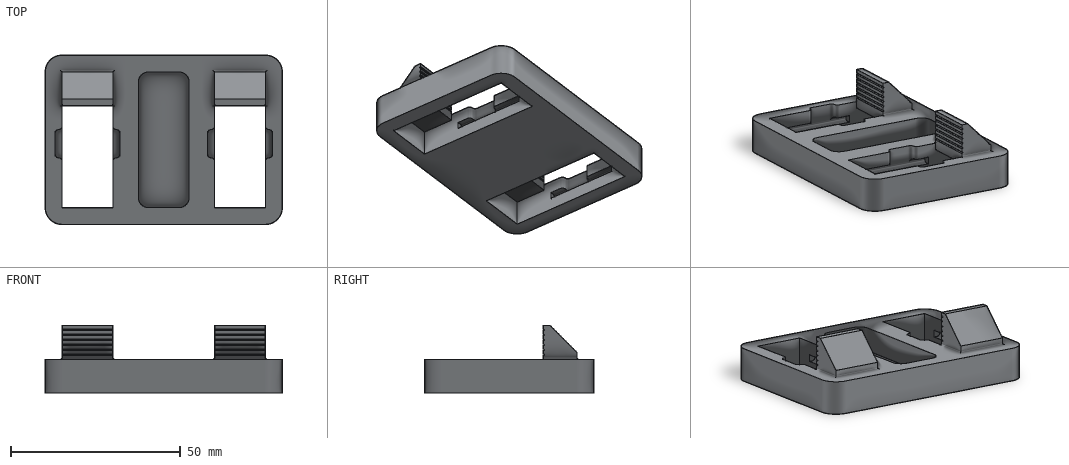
import cadquery as cq
import math

length = 70.0
cell = length / 14
width = 10 * cell
base_height = 2 * cell
corner_radius = cell

opening_width = 3 * cell
opening_length = 8 * cell
opening_end = opening_length / 2
window_spacing = 9 * cell
window_centers = [-window_spacing / 2, window_spacing / 2]
pocket_depth = 7.0
pocket_corner_radius = 3.0

block_length = 2 * cell
block_front = opening_end - block_length
block_top = 4 * cell
block_sink = 2.0
block_bottom = base_height - block_sink
block_crest = 2.0
block_foot_radius = 0.5

groove_count = 6
groove_pitch = 1.5
groove_top_gap = 1.3
groove_height = 0.5
groove_depth = 0.4

rail_depth = 2.0
rail_radius = rail_depth / 2
rail_height = base_height / 2
rail_rear = 7.5
rail_front = -15.05
notch_rear = 3.0
notch_front = -5.3


def make_base():
    """Rounded plate with its bottom face at Z = 0."""
    plate = cq.Workplane("XY").box(length, width, base_height, centered=(True, True, False))
    return plate.edges("|Z").fillet(corner_radius)


def make_window(center_x):
    """Through opening for one window."""
    window = cq.Workplane("XY").box(
        opening_width, opening_length, base_height, centered=(True, True, False)
    )
    return window.translate((center_x, 0, 0))


def make_pocket():
    """Central pocket with rounded corners, open at the top."""
    pocket = cq.Workplane("XY").box(
        opening_width, opening_length, pocket_depth, centered=(True, True, False)
    )
    pocket = pocket.edges("|Z").fillet(pocket_corner_radius)
    return pocket.translate((0, 0, base_height - pocket_depth))


def make_rail(center_x):
    """Groove profile with rounded sides, reaching into both long walls of a window."""
    rail = (
        cq.Workplane("XZ", origin=(center_x, rail_rear, rail_height))
        .slot2D(opening_width + 2 * rail_depth, 2 * rail_radius)
        .extrude(rail_rear - rail_front)
    )
    return rail


def make_notch(center_x):
    """Entry notches of one window: S-shaped ends flare out to the window walls."""
    wall = opening_width / 2
    turn = wall + rail_radius
    outer = wall + rail_depth
    flare_rear = notch_rear + rail_radius
    flare_front = notch_front - rail_radius
    flat_rear = notch_rear - rail_radius
    flat_front = notch_front + rail_radius
    arc_middle = rail_radius * math.sqrt(0.5)
    notch = (
        cq.Workplane("XY")
        .workplane(offset=rail_height)
        .moveTo(0, flare_rear)
        .lineTo(wall, flare_rear)
        .threePointArc((turn - arc_middle, flare_rear - arc_middle), (turn, notch_rear))
        .threePointArc((turn + arc_middle, flat_rear + arc_middle), (outer, flat_rear))
        .lineTo(outer, flat_front)
        .threePointArc((turn + arc_middle, flat_front - arc_middle), (turn, notch_front))
        .threePointArc((turn - arc_middle, flare_front + arc_middle), (wall, flare_front))
        .lineTo(0, flare_front)
        .close()
        .extrude(base_height - rail_height)
    )
    notch = notch.union(notch.mirror("YZ"))
    return notch.translate((center_x, 0, 0))


def make_block(center_x):
    """Wedge with a 45 degree back slope and grip grooves across its front face."""
    crest_back = block_front + block_crest
    slope_foot = block_top - (opening_end - crest_back)
    block = (
        cq.Workplane("YZ")
        .polyline([
            (block_front, block_bottom),
            (block_front, block_top),
            (crest_back, block_top),
            (opening_end, slope_foot),
            (opening_end, block_bottom),
        ])
        .close()
        .extrude(opening_width / 2, both=True)
    )
    for index in range(groove_count):
        groove_center = block_top - groove_top_gap - index * groove_pitch
        groove = (
            cq.Workplane("YZ")
            .polyline([
                (block_front, groove_center - groove_height / 2),
                (block_front + groove_depth, groove_center),
                (block_front, groove_center + groove_height / 2),
            ])
            .close()
            .extrude(opening_width / 2, both=True)
        )
        block = block.cut(groove)
    return block.translate((center_x, 0, 0))


def make_block_foot(center_x):
    """Concave foot around the back and both sides of a block, flush with its front face."""
    foot = cq.Workplane("XY").box(
        opening_width + 2 * block_foot_radius,
        block_length + block_foot_radius,
        block_foot_radius,
        centered=(True, False, False),
    )
    side = opening_width / 2 + block_foot_radius
    for direction in (-1, 1):
        scoop = cq.Workplane("XZ").center(direction * side, block_foot_radius).circle(block_foot_radius)
        foot = foot.cut(scoop.extrude(-(block_length + block_foot_radius)))
    back_scoop = cq.Workplane("YZ").center(block_length + block_foot_radius, block_foot_radius)
    foot = foot.cut(back_scoop.circle(block_foot_radius).extrude(side, both=True))
    return foot.translate((center_x, block_front, base_height))


result = make_base().cut(make_pocket())
for window_center in window_centers:
    result = result.cut(make_window(window_center))
    result = result.cut(make_rail(window_center))
    result = result.cut(make_notch(window_center))
    result = result.union(make_block(window_center))
    result = result.union(make_block_foot(window_center))